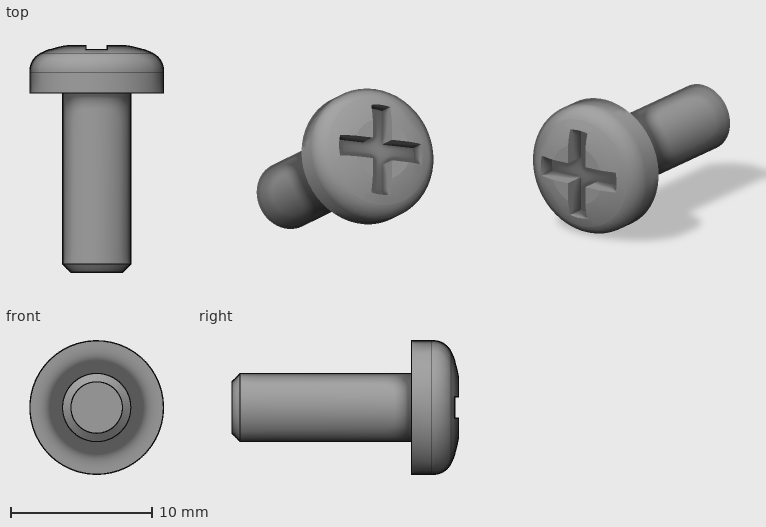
import cadquery as cq

total_length = 16.05
head_diameter = 9.47
head_height = 3.35
shank_diameter = 4.83
tip_chamfer = 0.6

crown_flat_radius = 2.17
crown_mid_radius = 3.11
crown_mid_drop = 0.21
crown_edge_radius = 3.96
crown_edge_drop = 0.55
corner_mid_radius = 4.51
corner_mid_drop = 1.05
rim_drop = 1.91

recess_diameter = 6.55
recess_width = 1.5
recess_depth = 1.6

head_radius = head_diameter / 2
shank_radius = shank_diameter / 2
tip_radius = shank_radius - tip_chamfer
tip_y = head_height - total_length


def screw_body():
    """Head and shank, revolved about the Y axis."""
    profile = (
        cq.Workplane("XY")
        .moveTo(0, tip_y)
        .lineTo(tip_radius, tip_y)
        .lineTo(shank_radius, tip_y + tip_chamfer)
        .lineTo(shank_radius, 0)
        .lineTo(head_radius, 0)
        .lineTo(head_radius, head_height - rim_drop)
        .threePointArc(
            (corner_mid_radius, head_height - corner_mid_drop),
            (crown_edge_radius, head_height - crown_edge_drop),
        )
        .threePointArc(
            (crown_mid_radius, head_height - crown_mid_drop),
            (crown_flat_radius, head_height),
        )
        .lineTo(0, head_height)
        .close()
    )
    return profile.revolve(360, (0, 0, 0), (0, 1, 0))


def cross_recess():
    """Two crossed arms sunk from the flat top of the head."""
    arm_x = cq.Workplane("XY").box(recess_diameter, recess_depth, recess_width)
    arm_z = cq.Workplane("XY").box(recess_width, recess_depth, recess_diameter)
    outer_limit = (
        cq.Workplane("XZ")
        .circle(recess_diameter / 2)
        .extrude(recess_depth / 2, both=True)
    )
    cross = arm_x.union(arm_z).intersect(outer_limit)
    return cross.translate((0, head_height - recess_depth / 2, 0))


result = screw_body().cut(cross_recess())